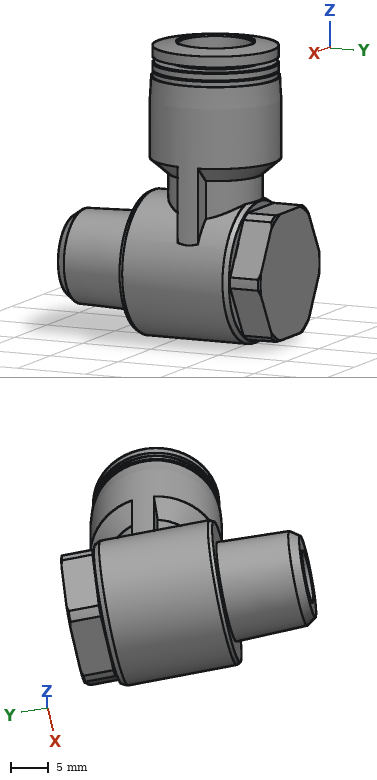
import cadquery as cq
import math


BODY_R = 19.6 / 2
BODY_BACK_Y = 6.45
BODY_FRONT_Y = -9.6
BACK_BEVEL_LENGTH = 0.75
BACK_BEVEL_DEPTH = 0.35
FRONT_BEVEL_LENGTH = 0.52
FRONT_BEVEL_DEPTH = 0.3

SPIGOT_ROOT_R = 6.75
SPIGOT_TIP_R = 6.4
SPIGOT_END_R = 5.52
SPIGOT_BEVEL_Y = -19.25
SPIGOT_END_Y = -20.55

HEX_FLATS = 17.1
HEX_CORNER_R = 9.47
HEX_BACK_Y = 10.95
HEX_FRONT_Y = 6.65
HEX_BEVEL_LENGTH = 0.2
HEX_BEVEL_DEPTH = 0.35
HEX_NECK_R = 8.05

SOCKET_TOP_Z = 40.3 - BODY_R
CAP_R = 16.8 / 2
CAP_EDGE_Z = 30.0
CAP_BOTTOM_Z = 28.55
SLEEVE_R = 12.0 / 2
SLEEVE_FLARE_R = 6.13
SLEEVE_FLARE_Z = 28.35
COLLAR_TOP_Z = 27.8
COLLAR_BEVEL = 0.15
COLLAR_GROOVE_Z = 26.65
COLLAR_GROOVE_WIDTH = 0.15
COLLAR_GROOVE_DEPTH = 0.2
COLLAR_BOTTOM_Z = 25.87
SOCKET_R = 17.5 / 2
SOCKET_SHOULDER_R = 8.6
TAPER_BOTTOM_Z = 22.9
SOCKET_BOTTOM_Z = 14.87
STEM_R = 6.3
STEM_TOP_Z = 12.78

RIB_WIDTH = 3.0
RIB_TOP_Z = SOCKET_BOTTOM_Z

TUBE_R = 10.0 / 2
TUBE_MOUTH_BEVEL = 0.25
TUBE_SEAT_Z = SOCKET_BOTTOM_Z
BORE_R = 7.1 / 2


def revolve_on_y(points):
    """Revolve a (radius, y) outline about the Y axis."""
    return cq.Workplane("XY").polyline(points).close().revolve(360, (0, 0), (0, 1))


def revolve_on_z(points):
    """Revolve a (radius, z) outline about the Z axis."""
    return cq.Workplane("XZ").polyline(points).close().revolve(360, (0, 0), (0, 1))


def cylinder_on_z(radius, bottom, top):
    return cq.Workplane("XY").workplane(offset=bottom).circle(radius).extrude(top - bottom)


def make_barrel():
    """Barrel, tapered spigot and the short neck that carries the hexagon."""
    return revolve_on_y([
        (0, SPIGOT_END_Y),
        (SPIGOT_END_R, SPIGOT_END_Y),
        (SPIGOT_TIP_R, SPIGOT_BEVEL_Y),
        (SPIGOT_ROOT_R, BODY_FRONT_Y),
        (BODY_R - FRONT_BEVEL_DEPTH, BODY_FRONT_Y),
        (BODY_R, BODY_FRONT_Y + FRONT_BEVEL_LENGTH),
        (BODY_R, BODY_BACK_Y - BACK_BEVEL_LENGTH),
        (BODY_R - BACK_BEVEL_DEPTH, BODY_BACK_Y),
        (HEX_NECK_R, BODY_BACK_Y),
        (HEX_NECK_R, HEX_FRONT_Y),
        (0, HEX_FRONT_Y),
    ])


def make_hexagon():
    """Hexagon with flats facing up and down, trimmed by a bevelled round blank."""
    across_corners = HEX_FLATS / math.cos(math.pi / 6)
    prism = (
        cq.Workplane("XZ", origin=(0, HEX_BACK_Y, 0))
        .polygon(6, across_corners)
        .extrude(HEX_BACK_Y - HEX_FRONT_Y)
    )
    blank = revolve_on_y([
        (0, HEX_FRONT_Y),
        (HEX_CORNER_R, HEX_FRONT_Y),
        (HEX_CORNER_R, HEX_BACK_Y - HEX_BEVEL_LENGTH),
        (HEX_CORNER_R - HEX_BEVEL_DEPTH, HEX_BACK_Y),
        (0, HEX_BACK_Y),
    ])
    return prism.intersect(blank)


def make_socket():
    """Push-in socket with its release cap, sleeve, collar and stem."""
    groove_top = COLLAR_GROOVE_Z + COLLAR_GROOVE_WIDTH / 2
    groove_bottom = COLLAR_GROOVE_Z - COLLAR_GROOVE_WIDTH / 2
    groove_r = CAP_R - COLLAR_GROOVE_DEPTH
    return revolve_on_z([
        (0, 0),
        (STEM_R, 0),
        (STEM_R, STEM_TOP_Z),
        (SOCKET_R, SOCKET_BOTTOM_Z),
        (SOCKET_R, TAPER_BOTTOM_Z),
        (SOCKET_SHOULDER_R, COLLAR_BOTTOM_Z),
        (CAP_R, COLLAR_BOTTOM_Z),
        (CAP_R, groove_bottom),
        (groove_r, groove_bottom),
        (groove_r, groove_top),
        (CAP_R, groove_top),
        (CAP_R, COLLAR_TOP_Z - COLLAR_BEVEL),
        (CAP_R - COLLAR_BEVEL, COLLAR_TOP_Z),
        (SLEEVE_R, COLLAR_TOP_Z),
        (SLEEVE_R, SLEEVE_FLARE_Z),
        (SLEEVE_FLARE_R, CAP_BOTTOM_Z),
        (CAP_R, CAP_BOTTOM_Z),
        (CAP_R, CAP_EDGE_Z),
        (TUBE_R + TUBE_MOUTH_BEVEL, SOCKET_TOP_Z),
        (0, SOCKET_TOP_Z),
    ])


def make_ribs():
    """One plate through the stem forms both ribs; their outer faces continue the socket's curve."""
    plate = cq.Workplane("XY").rect(2 * SOCKET_R, RIB_WIDTH).extrude(RIB_TOP_Z)
    return plate.intersect(cylinder_on_z(SOCKET_R, 0, RIB_TOP_Z))


def make_passage():
    """Tube seat and an elbow bore rounded by a sphere at the corner."""
    seat = revolve_on_z([
        (0, TUBE_SEAT_Z),
        (TUBE_R, TUBE_SEAT_Z),
        (TUBE_R, SOCKET_TOP_Z - TUBE_MOUTH_BEVEL),
        (TUBE_R + TUBE_MOUTH_BEVEL, SOCKET_TOP_Z),
        (0, SOCKET_TOP_Z),
    ])
    upright = cylinder_on_z(BORE_R, 0, TUBE_SEAT_Z)
    outlet = cq.Workplane("XZ").circle(BORE_R).extrude(-SPIGOT_END_Y)
    corner = cq.Workplane("XY").sphere(BORE_R)
    return seat.union(upright).union(outlet).union(corner)


solid_body = make_barrel().union(make_hexagon()).union(make_socket()).union(make_ribs())
result = solid_body.cut(make_passage())